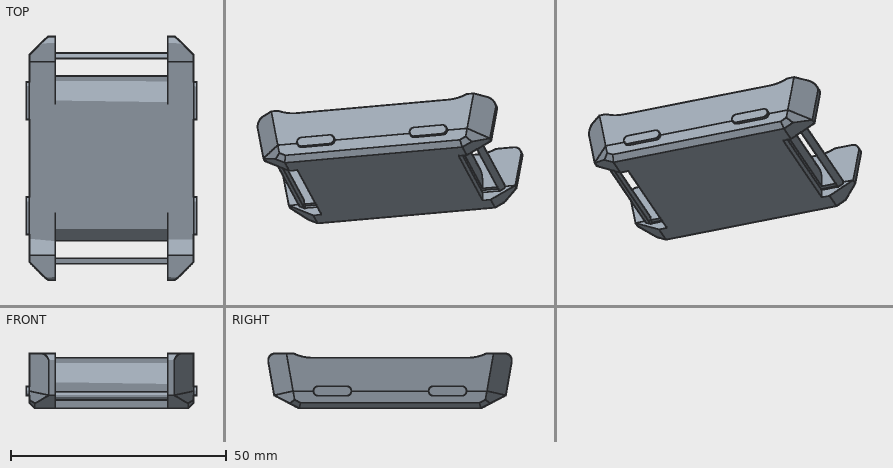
import cadquery as cq
import math

case_width = 38.1
case_height = 12.79
case_half_width = case_width / 2
end_draft = math.tan(math.radians(10))
bottom_half_length = 21.05
end_low_half_length = 26.885
end_low_height = 3.05
end_top_half_length = end_low_half_length + end_draft * (case_height - end_low_height)
corner_chamfer = 4.52
bottom_chamfer = 1.3
lug_top_radius = 1.7

saddle_height = 11.78
saddle_half_length = 18.0
lug_tip_half_length = 22.4
saddle_rise = case_height - saddle_height
saddle_run = lug_tip_half_length - saddle_half_length
saddle_radius = (saddle_run**2 + saddle_rise**2) / (2 * saddle_rise)

opening_width = 26.0
opening_wall = 19.12
shoulder_radius = 6.45

part_line_middle = end_low_height
part_line_side = 4.05
part_flat_half_width = case_half_width - corner_chamfer

groove_floor = 2.0
groove_depth = 1.1

bar_inner = 23.15
bar_outer = 24.45
bar_inner_bottom = 1.95
bar_inner_top = 3.9
bar_top_slope = math.tan(math.radians(15))
bar_bottom_slope = end_low_height / (end_low_half_length - bottom_half_length)
bar_round = 0.57

button_length = 8.8
button_height = 2.2
button_spacing = 26.7
button_proud = 0.745
button_seat_depth = 1.5

margin = 1.0
clear = 2 * end_top_half_length


def extrude_along_x(sketch, width):
    """Extrude a closed YZ sketch evenly to both sides of X = 0."""
    return sketch.extrude(width / 2, both=True)


def mirror_ends(shape):
    """The shape at the +Y end together with its copy at the -Y end."""
    return [shape, shape.mirror("XZ")]


def case_blank():
    """Boat-shaped block with chamfered corners and rounded lug tops."""
    outline = cq.Workplane("YZ").polyline([
        (-bottom_half_length, 0),
        (bottom_half_length, 0),
        (end_low_half_length, end_low_height),
        (end_top_half_length, case_height),
        (-end_top_half_length, case_height),
        (-end_low_half_length, end_low_height),
    ]).close()
    blank = extrude_along_x(outline, case_width)

    underside_edges = cq.selectors.BoxSelector(
        (-clear, -clear, -margin), (clear, clear, end_low_height - margin)
    )
    for side in ("<X", ">X"):
        blank = blank.faces(side).edges(underside_edges).chamfer(bottom_chamfer)
    upper_ends = cq.selectors.BoxSelector(
        (-clear, -clear, end_low_height), (clear, clear, case_height - margin)
    )
    for side in ("<X", ">X"):
        blank = blank.faces(side).edges(upper_ends).chamfer(corner_chamfer)
    return blank


def saddle_cutter():
    """Space above the low middle of the case, curving up to the lug tips."""
    angle = math.asin(saddle_run / saddle_radius) / 2
    mid_y = saddle_half_length + saddle_radius * math.sin(angle)
    mid_z = saddle_height + saddle_radius * (1 - math.cos(angle))
    outline = (
        cq.Workplane("YZ")
        .moveTo(-saddle_half_length, saddle_height)
        .lineTo(saddle_half_length, saddle_height)
        .threePointArc((mid_y, mid_z), (lug_tip_half_length, case_height))
        .lineTo(-lug_tip_half_length, case_height)
        .threePointArc((-mid_y, mid_z), (-saddle_half_length, saddle_height))
        .close()
    )
    return extrude_along_x(outline, case_width)


def strap_opening():
    """Space between the two lugs at the +Y end."""
    outline = (
        cq.Workplane("YZ")
        .moveTo(opening_wall, -margin)
        .lineTo(opening_wall, saddle_height - shoulder_radius)
        .radiusArc((opening_wall - shoulder_radius, saddle_height), -shoulder_radius)
        .lineTo(opening_wall - shoulder_radius, case_height + margin)
        .lineTo(clear, case_height + margin)
        .lineTo(clear, -margin)
        .close()
    )
    return extrude_along_x(outline, opening_width)


def lower_region():
    """Everything below the parting surface."""
    outline = cq.Workplane("XZ").polyline([
        (-case_half_width, -margin),
        (case_half_width, -margin),
        (case_half_width, part_line_side),
        (part_flat_half_width, part_line_middle),
        (-part_flat_half_width, part_line_middle),
        (-case_half_width, part_line_side),
    ]).close()
    return outline.extrude(clear, both=True)


def groove():
    """Groove in the wall and lugs around the +Y strap opening, under the upper shell."""
    inner = opening_wall - groove_depth
    return cq.Workplane("XY").box(
        opening_width + 2 * groove_depth,
        bar_inner - inner,
        part_line_middle - groove_floor,
        centered=(True, False, False),
    ).translate((0, inner, groove_floor))


def strap_bar():
    """Bar joining the two lugs at the +Y end, rounded on its outer side."""
    depth = bar_outer - bar_inner
    outline = cq.Workplane("YZ").polyline([
        (bar_inner, bar_inner_bottom),
        (bar_outer, bar_inner_bottom + depth * bar_bottom_slope),
        (bar_outer, bar_inner_top - depth * bar_top_slope),
        (bar_inner, bar_inner_top),
    ]).close()
    bar = extrude_along_x(outline, opening_width)
    return bar.faces(">Y").edges("|X").fillet(bar_round)


def button(side, end):
    """Oblong side button, on the side (-1 or 1 in X) and end (-1 or 1 in Y) given."""
    seat = case_half_width - button_seat_depth
    return (
        cq.Workplane("YZ", origin=(side * seat, end * button_spacing / 2, part_line_side))
        .slot2D(button_length, button_height)
        .extrude(side * (button_seat_depth + button_proud))
    )


buttons = [button(side, end) for side in (-1, 1) for end in (-1, 1)]

case = case_blank().faces(">Z").edges("|X").fillet(lug_top_radius)
case = case.cut(saddle_cutter())
for opening in mirror_ends(strap_opening()):
    case = case.cut(opening)
for each_button in buttons:
    case = case.cut(each_button)

upper_shell = case.cut(lower_region())

lower_shell = case.intersect(lower_region())
for each_groove in mirror_ends(groove()):
    lower_shell = lower_shell.cut(each_groove)
for bar in mirror_ends(strap_bar()):
    lower_shell = lower_shell.union(bar)

result = cq.Compound.makeCompound([
    upper_shell.val(),
    lower_shell.val(),
    *[each_button.val() for each_button in buttons],
])